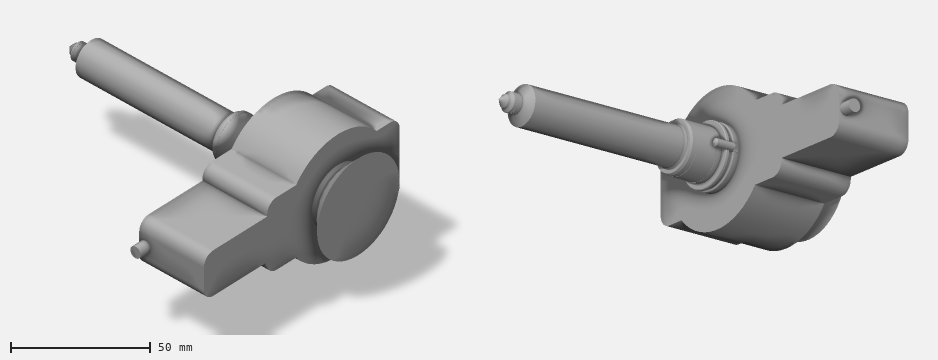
import cadquery as cq


nose_end = 8.1
barrel_end = 79.0
nut_end = 94.1
washer_end = 95.7
collar_start = 97.3
housing_start = 100.1
housing_end = 131.9
total_length = 142.0

nose_radius = 4.0
nose_point_length = 2.4
nose_point_radius = 2.5
nose_taper_end = 3.4
nose_taper_radius = 2.8
nose_shoulder = 4.3
nose_groove_starts = (4.8, 5.5, 7.7)
nose_groove_width = 0.4
nose_groove_depth = 0.09

barrel_radius = 8.0
barrel_cone_end = 10.5

nut_radius = 10.5
nut_entry_radius = 8.5
nut_entry_length = 0.7
nut_chamfer_length = 1.0
nut_chamfer_depth = 0.5
nut_rear_chamfer_length = 0.5
nut_rear_chamfer_depth = 0.1
nut_groove_starts = (82.1, 91.0)
nut_groove_width = 0.9
nut_groove_depth = 0.09

flange_radius = 12.9
flange_chamfer = 0.3
neck_radius = 11.9
key_start = 96.7
key_end = 99.3
key_width = 3.0
key_reach = 13.0

dowel_radius = 1.5
dowel_offset = 13.2
dowel_tip = 88.0
dowel_shoulder = 88.8
dowel_tail = key_start
dowel_end = 97.0
dowel_point_radius = 0.4
dowel_tail_radius = 0.9
dowel_groove_start = 89.2
dowel_groove_width = 0.9
dowel_groove_depth = 0.09

drum_radius = 27.0
wide_lobe_reach = 32.2
wide_lobe_height = 35.5
narrow_lobe_reach = 36.8
narrow_lobe_height = 32.1
arm_reach = 69.7
arm_height = 20.2
corner_radius = 5.0

pin_radius = 2.5
pin_shank_radius = 3.0
pin_shank_length = 20.0
pin_stub_length = 5.1
pin_wall = 0.03
pin_x = housing_start + pin_wall + pin_shank_radius

bell_neck_radius = 13.5
bell_neck_end = 134.2
bell_radius = 21.5


def revolve_profile(points):
    """Turn a closed outline of (x, radius) points about the X axis."""
    return cq.Workplane("XY").polyline(points).close().revolve(360, (0, 0, 0), (1, 0, 0))


def ring(start, length, inner, outer):
    """Tube along X."""
    return cq.Workplane("YZ", origin=(start, 0, 0)).circle(outer).circle(inner).extrude(length)


def cut_groove(body, start, width, radius, depth):
    """Turn a shallow groove into a cylindrical surface of the given radius."""
    return body.cut(ring(start, width, radius - depth, radius + depth))


def make_nose():
    nose = revolve_profile([
        (0, 0),
        (nose_point_length, nose_point_radius),
        (nose_taper_end, nose_taper_radius),
        (nose_shoulder, nose_radius),
        (nose_end, nose_radius),
        (nose_end, 0),
    ])
    for start in nose_groove_starts:
        nose = cut_groove(nose, start, nose_groove_width, nose_radius, nose_groove_depth)
    return nose


def make_barrel():
    return revolve_profile([
        (nose_end, 0),
        (nose_end, nose_radius),
        (barrel_cone_end, barrel_radius),
        (barrel_end, barrel_radius),
        (barrel_end, 0),
    ])


def make_cap_nut():
    face = barrel_end + nut_entry_length
    nut = revolve_profile([
        (barrel_end, 0),
        (barrel_end, barrel_radius),
        (face, nut_entry_radius),
        (face, nut_radius - nut_chamfer_depth),
        (face + nut_chamfer_length, nut_radius),
        (nut_end - nut_rear_chamfer_length, nut_radius),
        (nut_end, nut_radius - nut_rear_chamfer_depth),
        (nut_end, 0),
    ])
    for start in nut_groove_starts:
        nut = cut_groove(nut, start, nut_groove_width, nut_radius, nut_groove_depth)
    return nut


def make_dowel():
    dowel = revolve_profile([
        (dowel_tip, 0),
        (dowel_tip, dowel_point_radius),
        (dowel_shoulder, dowel_radius),
        (dowel_tail, dowel_radius),
        (dowel_end, dowel_tail_radius),
        (dowel_end, 0),
    ])
    dowel = cut_groove(dowel, dowel_groove_start, dowel_groove_width, dowel_radius, dowel_groove_depth)
    return dowel.translate((0, -dowel_offset, 0))


def make_washer(dowel):
    washer = cq.Workplane("YZ", origin=(nut_end, 0, 0)).circle(flange_radius)
    washer = washer.extrude(washer_end - nut_end).edges().chamfer(flange_chamfer)
    return washer.cut(dowel)


def make_collar(dowel):
    collar = revolve_profile([
        (washer_end, 0),
        (washer_end, neck_radius),
        (collar_start, neck_radius),
        (collar_start, flange_radius - flange_chamfer),
        (collar_start + flange_chamfer, flange_radius),
        (housing_start, flange_radius),
        (housing_start, 0),
    ])
    key = cq.Workplane("XY").box(key_end - key_start, key_reach, key_width, centered=(False, False, True))
    key = key.translate((key_start, -key_reach, 0))
    return collar.union(key).cut(dowel)


def housing_block(y_start, y_end, height):
    """Block across the housing width, centred on Z = 0."""
    block = cq.Workplane("XY").box(
        housing_end - housing_start, y_end - y_start, height, centered=(False, False, True)
    )
    return block.translate((housing_start, y_start, 0))


def make_housing(pin):
    width = housing_end - housing_start
    drum = cq.Workplane("YZ", origin=(housing_start, 0, 0)).circle(drum_radius).extrude(width)
    wide_lobe = housing_block(0, wide_lobe_reach, wide_lobe_height).edges("|X and >Y").fillet(corner_radius)
    narrow_lobe = housing_block(-narrow_lobe_reach, 0, narrow_lobe_height)
    narrow_lobe = narrow_lobe.edges("|X and <Y").fillet(corner_radius)
    arm = housing_block(-arm_reach, 0, arm_height).edges("|X and <Y").fillet(corner_radius)
    return drum.union(wide_lobe).union(narrow_lobe).union(arm).cut(pin)


def make_side_pin():
    """Shank buried in the arm with its step flush with the arm end, and a thinner stub outside."""
    arm_end = cq.Workplane("XZ", origin=(pin_x, -arm_reach, 0))
    shank = arm_end.circle(pin_shank_radius).extrude(-pin_shank_length)
    stub = arm_end.circle(pin_radius).extrude(pin_stub_length)
    return shank.union(stub)


def make_bell():
    return revolve_profile([
        (housing_end, 0),
        (housing_end, bell_neck_radius),
        (bell_neck_end, bell_neck_radius),
        (total_length, bell_radius),
        (total_length, 0),
    ])


nose = make_nose()
barrel = make_barrel()
cap_nut = make_cap_nut()
dowel = make_dowel()
washer = make_washer(dowel)
collar = make_collar(dowel)
side_pin = make_side_pin()
housing = make_housing(side_pin)
bell = make_bell()

result = cq.Compound.makeCompound([
    nose.val(),
    barrel.val(),
    cap_nut.val(),
    dowel.val(),
    washer.val(),
    collar.val(),
    side_pin.val(),
    housing.val(),
    bell.val(),
])